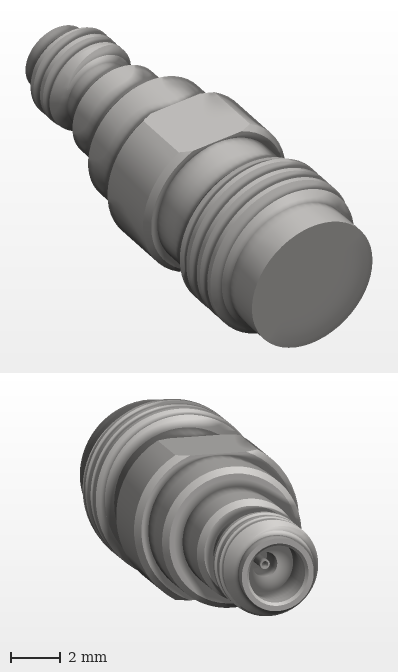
import cadquery as cq
import math


neck_end = 4.07
shoulder_end = 6.37
collar_end = 8.55
wrench_end = 11.6
total_length = 18.4

neck_radius = 1.5
shoulder_radius = 2.13
collar_radius = 2.93
wrench_radius = 3.45
edge_chamfer = 0.24

across_flats = 6.0

front_thread_start = 0.55
front_thread_end = 3.0
front_crest_radius = 2.02
front_pitch = 0.68
front_groove_depth = 0.4
front_groove_offset = 1.07

rear_thread_start = 13.47
rear_thread_end = 16.84
rear_crest_radius = 3.5
rear_pitch = 0.75
rear_groove_depth = 0.46
rear_groove_offset = 13.69

groove_half_angle = math.radians(30)
groove_overcut = 0.04
minimum_lead_in = 0.5

bore_radius = 1.18
bore_depth = 1.84
bore_chamfer = 0.11
air_gap_radius = 0.52
air_gap_depth = 1.47
pin_radius = 0.2
pin_hole_radius = 0.13
pin_hole_depth = 0.92


def cylinder(start, end, radius):
    """Cylinder on the X axis between two positions."""
    return cq.Workplane("YZ", origin=(start, 0, 0)).circle(radius).extrude(end - start)


def thread_blank(start, end, core_radius, crest_radius):
    """Cylinder at crest size with both ends tapered at 45 degrees down to the core."""
    taper = crest_radius - core_radius
    return (
        cq.Workplane("XY")
        .moveTo(start, 0)
        .lineTo(start, core_radius)
        .lineTo(start + taper, crest_radius)
        .lineTo(end - taper, crest_radius)
        .lineTo(end, core_radius)
        .lineTo(end, 0)
        .close()
        .revolve(360, (0, 0, 0), (1, 0, 0))
    )


def thread_groove(start, end, crest_radius, pitch, depth):
    """Right-handed V groove around the X axis, starting on the underside."""
    root_radius = crest_radius - depth
    top_radius = crest_radius + groove_overcut
    half_width = (top_radius - root_radius) * math.tan(groove_half_angle)
    helix = cq.Wire.makeHelix(pitch, end - start, root_radius)
    groove = (
        cq.Workplane("XZ")
        .moveTo(root_radius, 0)
        .lineTo(top_radius, half_width)
        .lineTo(top_radius, -half_width)
        .close()
        .sweep(cq.Workplane(obj=helix), isFrenet=True)
    )
    return groove.rotate((0, 0, 0), (0, 1, 0), 90).translate((start, 0, 0))


def threaded_sleeve(start, end, core_radius, crest_radius, pitch, depth, groove_offset):
    """Grooved bar, longer than its groove, trimmed to the tapered shape of the thread."""
    lead_in_turns = math.ceil((groove_offset - start) / pitch + minimum_lead_in)
    groove_start = groove_offset - lead_in_turns * pitch
    groove_end = end + pitch
    groove = thread_groove(groove_start, groove_end, crest_radius, pitch, depth)
    bar = cylinder(groove_start - pitch, groove_end + pitch, crest_radius)
    blank = thread_blank(start, end, core_radius, crest_radius)
    return bar.cut(groove).intersect(blank)


neck = cylinder(0, neck_end, neck_radius)
shoulder = cylinder(neck_end, shoulder_end, shoulder_radius).faces("<X").chamfer(edge_chamfer)
collar = cylinder(shoulder_end, collar_end, collar_radius).faces("<X").chamfer(edge_chamfer)
barrel = cylinder(wrench_end, total_length, collar_radius)

flats_block = cq.Workplane("XY").box(2 * total_length, 2 * wrench_radius, across_flats)
wrench = (
    cylinder(collar_end, wrench_end, wrench_radius)
    .faces("<X or >X")
    .chamfer(edge_chamfer)
    .intersect(flats_block)
)

front_thread = threaded_sleeve(
    front_thread_start, front_thread_end, neck_radius, front_crest_radius,
    front_pitch, front_groove_depth, front_groove_offset,
)
rear_thread = threaded_sleeve(
    rear_thread_start, rear_thread_end, collar_radius, rear_crest_radius,
    rear_pitch, rear_groove_depth, rear_groove_offset,
)

body = neck.union(front_thread).union(shoulder).union(collar)
body = body.union(wrench).union(barrel).union(rear_thread)

bore = (
    cq.Workplane("XY")
    .lineTo(0, bore_radius + bore_chamfer)
    .lineTo(bore_chamfer, bore_radius)
    .lineTo(bore_depth, bore_radius)
    .lineTo(bore_depth, 0)
    .close()
    .revolve(360, (0, 0, 0), (1, 0, 0))
)
air_gap = cylinder(bore_depth, bore_depth + air_gap_depth, air_gap_radius)
pin = cylinder(bore_depth, bore_depth + air_gap_depth, pin_radius)
pin_hole = cylinder(bore_depth, bore_depth + pin_hole_depth, pin_hole_radius)

result = body.cut(bore).cut(air_gap.cut(pin)).cut(pin_hole)